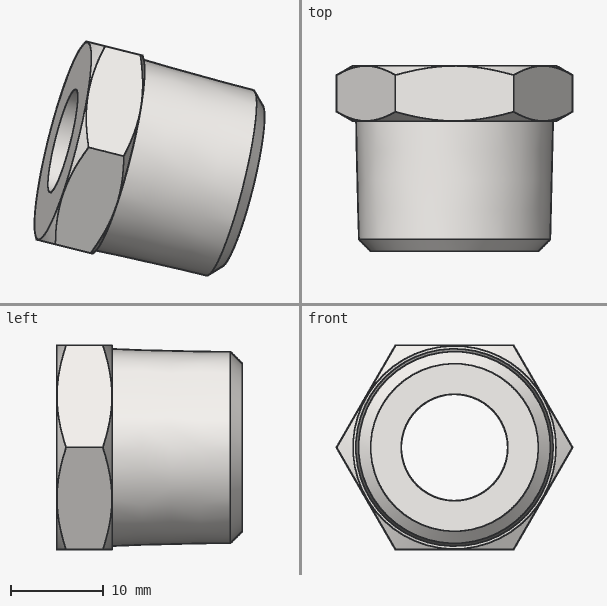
import cadquery as cq
import math

across_corners = 25.4
head_thickness = 6.0
head_face_radius = 10.92
head_chamfer_angle = 30.0

total_length = 20.0
shank_root_radius = 10.62
shank_tip_radius = 10.3
tip_chamfer = 1.3
bore_radius = 5.72

shank_length = total_length - head_thickness


def revolve_about_y(profile):
    """Revolve a closed (radius, Y) profile around the Y axis."""
    return cq.Workplane("XY").polyline(profile).close().revolve(360, (0, 0, 0), (0, 1, 0))


def make_head():
    """Hexagonal prism with its corners turned conically on both faces."""
    corner_radius = across_corners / 2
    chamfer_depth = (corner_radius - head_face_radius) * math.tan(math.radians(head_chamfer_angle))
    hexagon = (
        cq.Workplane("XZ", origin=(0, shank_length, 0))
        .polygon(6, across_corners)
        .extrude(-head_thickness)
    )
    envelope = revolve_about_y([
        (0, shank_length),
        (head_face_radius, shank_length),
        (corner_radius, shank_length + chamfer_depth),
        (corner_radius, total_length - chamfer_depth),
        (head_face_radius, total_length),
        (0, total_length),
    ])
    return hexagon.intersect(envelope)


def make_shank():
    """Tapered shank with a chamfered tip at Y = 0."""
    return revolve_about_y([
        (0, 0),
        (shank_tip_radius - tip_chamfer, 0),
        (shank_tip_radius, tip_chamfer),
        (shank_root_radius, shank_length),
        (0, shank_length),
    ])


def make_bore():
    """Straight hole through the full length."""
    return cq.Workplane("XZ").circle(bore_radius).extrude(-total_length)


result = make_head().union(make_shank()).cut(make_bore())